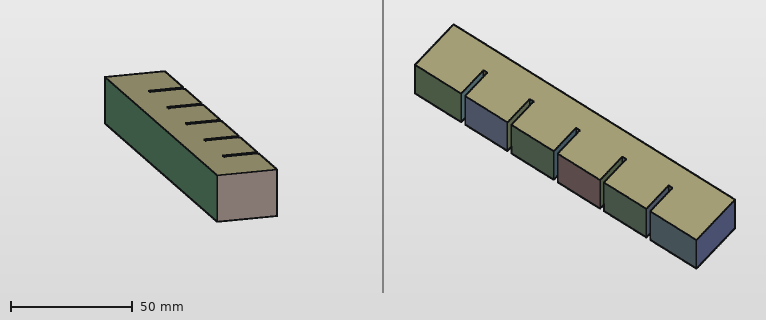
import cadquery as cq

length = 146.0
width = 26.0
height = 20.0

slot_count = 5
slot_pitch = 24.0
slot_width = 2.0
slot_depth = 15.0


def make_block():
    """Plain rectangular block centred on the origin."""
    return cq.Workplane("XY").box(length, width, height)


def make_slots():
    """Evenly spaced slots, open at the +Y face and through the full height."""
    slot_y = width / 2 - slot_depth / 2
    first_x = -slot_pitch * (slot_count - 1) / 2
    centres = [(first_x + i * slot_pitch, slot_y) for i in range(slot_count)]
    return cq.Workplane("XY").pushPoints(centres).box(slot_width, slot_depth, height)


result = make_block().cut(make_slots())